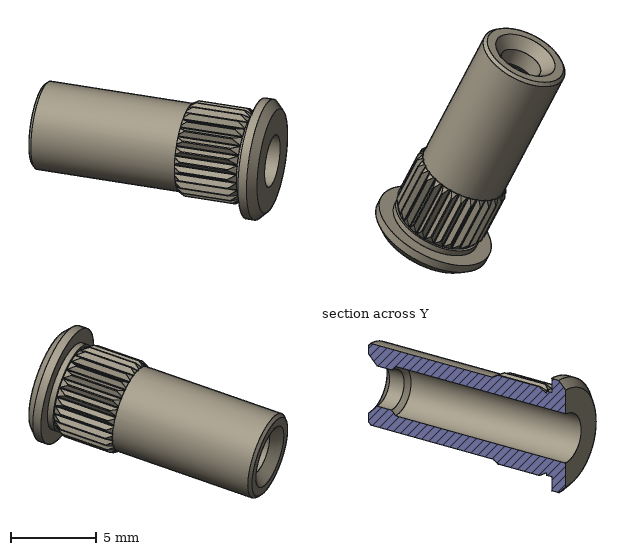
import cadquery as cq
import math

total_length = 14.2
barrel_length = 8.99
knurl_end = 12.81
collar_width = 0.37
knurl_lead_in = 0.34
knurl_crest_length = 2.97
head_bevel = 0.5
barrel_chamfer = 0.18

barrel_diameter = 5.25
collar_diameter = 5.41
head_diameter = 7.2
knurl_tip_diameter = 5.7
knurl_root_diameter = 5.15

tooth_count = 28
tooth_tip_width = 0.07
tooth_root_width = 0.5
knurl_end_angle = 30.0

bore_diameter = 2.54
mouth_diameter = 3.8
bore_land_length = 1.05
relief_diameter = 3.12

barrel_radius = barrel_diameter / 2
collar_radius = collar_diameter / 2
head_radius = head_diameter / 2
tip_radius = knurl_tip_diameter / 2
root_radius = knurl_root_diameter / 2
bore_radius = bore_diameter / 2
relief_radius = relief_diameter / 2
head_start = knurl_end + collar_width
knurl_length = knurl_end - barrel_length
crest_start = barrel_length + knurl_lead_in
crest_end = crest_start + knurl_crest_length
knurl_taper = math.tan(math.radians(knurl_end_angle))
knurl_start_radius = tip_radius - knurl_lead_in * knurl_taper
knurl_end_radius = tip_radius - (knurl_end - crest_end) * knurl_taper


def revolve_about_x(points):
    """Turn a closed (x, radius) outline about the X axis."""
    profile = cq.Workplane("XY").polyline(points).close()
    return profile.revolve(360, (0, 0, 0), (1, 0, 0))


def turned_body():
    """Barrel, knurl core, collar and bevelled head without the bore."""
    return revolve_about_x([
        (0, 0),
        (0, barrel_radius - barrel_chamfer),
        (barrel_chamfer, barrel_radius),
        (barrel_length, barrel_radius),
        (barrel_length, knurl_end_radius),
        (knurl_end, knurl_end_radius),
        (knurl_end, collar_radius),
        (head_start, collar_radius),
        (head_start, head_radius),
        (total_length - head_bevel, head_radius),
        (total_length, head_radius - head_bevel),
        (total_length, 0),
    ])


def knurl_envelope():
    """Turned solid that tapers both ends of the knurl."""
    return revolve_about_x([
        (barrel_length, 0),
        (barrel_length, knurl_start_radius),
        (crest_start, tip_radius),
        (crest_end, tip_radius),
        (knurl_end, knurl_end_radius),
        (knurl_end, 0),
    ])


def knurl():
    """Ring of straight trapezoidal teeth parallel to X."""
    root_overlap = 0.14
    flank_slope = (tooth_root_width - tooth_tip_width) / 2 / (tip_radius - root_radius)
    base_radius = root_radius - root_overlap
    base_half = tooth_root_width / 2 + root_overlap * flank_slope
    tip_half = tooth_tip_width / 2
    tooth = (
        cq.Workplane("YZ", origin=(barrel_length, 0, 0))
        .polyline([
            (-base_half, base_radius),
            (-tip_half, tip_radius),
            (tip_half, tip_radius),
            (base_half, base_radius),
        ])
        .close()
        .extrude(knurl_length)
    )
    teeth = cq.Workplane("YZ", origin=(barrel_length, 0, 0)).circle(root_radius).extrude(knurl_length)
    for index in range(tooth_count):
        angle = index * 360 / tooth_count
        teeth = teeth.union(tooth.rotate((0, 0, 0), (1, 0, 0), angle))
    return teeth.intersect(knurl_envelope())


def bore():
    """Through bore: 45 degree mouth, short land, then a 45 degree step to the relief."""
    mouth_radius = mouth_diameter / 2
    land_start = mouth_radius - bore_radius
    land_end = land_start + bore_land_length
    relief_start = land_end + relief_radius - bore_radius
    return revolve_about_x([
        (0, 0),
        (0, mouth_radius),
        (land_start, bore_radius),
        (land_end, bore_radius),
        (relief_start, relief_radius),
        (total_length, relief_radius),
        (total_length, 0),
    ])


result = turned_body().union(knurl()).cut(bore())